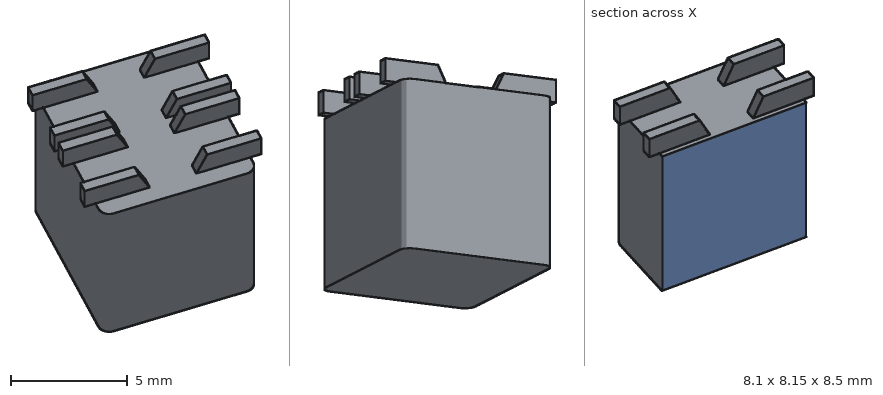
import cadquery as cq

body_length_x = 8.1
body_width_y = 7.15
body_height = 7.5
corner_radius = 0.5

pin_span_y = 8.15
pin_height = 1.0
pin_thickness = 0.5
pin_base_length = 3.0
pin_top_length = 2.5
inner_pin_x = 0.475
pin_pitch = 2.51
outer_pin_x = inner_pin_x + pin_pitch
pin_positions_x = (-outer_pin_x, -inner_pin_x, inner_pin_x, outer_pin_x)


def make_body():
    """Block with rounded vertical edges, standing on Z = 0."""
    block = cq.Workplane("XY").rect(body_length_x, body_width_y).extrude(body_height)
    return block.edges("|Z").fillet(corner_radius)


def make_pin(center_x, side):
    """Pin with an upright outer end and a sloped inner end; side is -1 or +1 along Y."""
    outer_y = pin_span_y / 2
    top_z = body_height + pin_height
    profile = [
        (side * outer_y, body_height),
        (side * outer_y, top_z),
        (side * (outer_y - pin_top_length), top_z),
        (side * (outer_y - pin_base_length), body_height),
    ]
    return (
        cq.Workplane("YZ", origin=(center_x, 0, 0))
        .polyline(profile)
        .close()
        .extrude(pin_thickness / 2, both=True)
    )


result = make_body()
for pin_x in pin_positions_x:
    for row_side in (-1, 1):
        result = result.union(make_pin(pin_x, row_side))